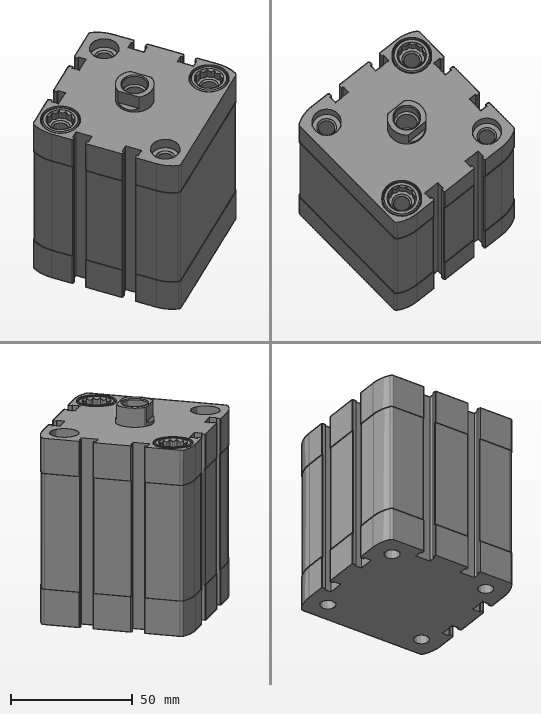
import cadquery as cq
import math

SIDE = 65.5
HALF_SIDE = SIDE / 2
HOUSING_HEIGHT = 80.0
CAP_HEIGHT = 15.2
BARREL_INSET = 0.3
HOLE_OFFSET = 23.3
CORNER_RADIUS = 17.1
CORNER_EDGE_FILLET = 1.5

SLOT_OFFSET = 11.0
SLOT_MOUTH_WIDTH = 5.5
SLOT_INNER_WIDTH = 7.1
SLOT_DEPTH = 5.0
SLOT_LIP = 1.8
SLOT_MOUTH_ROUND = 0.35

BOLT_HOLE_DIAMETER = 6.6
BOLT_HOLE_MOUTH_DIAMETER = 8.0
COUNTERBORE_DIAMETER = 12.0
COUNTERBORE_DEPTH = 4.7

HEAD_DIAMETER = 15.5
HEAD_CHAMFER = 0.5
HEAD_POCKET_DIAMETER = 16.4
HEAD_GAP_DEPTH = 1.3
SPLINE_TIP_DIAMETER = 11.5
SPLINE_ROOT_DIAMETER = 10.5
SPLINE_DEPTH = 4.2
SPLINE_TURNS = (0, 30)
SPLINE_LEAD_IN_DIAMETER = 12.0
SPLINE_LEAD_IN_DEPTH = 1.15

ROD_DIAMETER = 16.0
ROD_TOP = 88.2
ROD_BOTTOM = HOUSING_HEIGHT - CAP_HEIGHT
FLAT_WIDTH = 13.0
FLAT_HEIGHT = 6.35
FLAT_RUNOUT_ANGLE = 30.0
ROD_BORE_DIAMETER = 10.5
ROD_BORE_DEPTH = 4.85
ROD_BORE_CHAMFER = 0.4
THREAD_DIAMETER = 8.55
THREAD_DEPTH = 17.6
DRILL_HALF_ANGLE = math.radians(60)


def cylinder(diameter, z_bottom, height):
    return cq.Workplane("XY").workplane(offset=z_bottom).circle(diameter / 2).extrude(height)


def cone(bottom_diameter, top_diameter, z_bottom, height):
    solid = cq.Solid.makeCone(bottom_diameter / 2, top_diameter / 2, height, cq.Vector(0, 0, z_bottom))
    return cq.Workplane("XY").add(solid)


def block(inset, z_bottom, height):
    """Square block whose corners run out on wide arcs, all sides moved in by the inset."""
    half = HALF_SIDE - inset
    radius = CORNER_RADIUS - inset
    arc_centre_y = half - radius
    corner_y = arc_centre_y + math.sqrt(radius**2 - (half - HOLE_OFFSET) ** 2)
    return (
        cq.Workplane("XY")
        .workplane(offset=z_bottom)
        .moveTo(-HOLE_OFFSET, half)
        .lineTo(HOLE_OFFSET, half)
        .radiusArc((half, corner_y), radius)
        .lineTo(half, -corner_y)
        .radiusArc((HOLE_OFFSET, -half), radius)
        .lineTo(-HOLE_OFFSET, -half)
        .radiusArc((-half, -corner_y), radius)
        .lineTo(-half, corner_y)
        .radiusArc((-HOLE_OFFSET, half), radius)
        .close()
        .extrude(height)
        .edges("|Z and (<X or >X)")
        .fillet(CORNER_EDGE_FILLET)
    )


def slot(centre_x, inset, z_bottom, height):
    """T-slot cutter for the -Y side, its mouth rounded where it meets the inset side."""
    side_y = -HALF_SIDE + inset
    lip_y = -HALF_SIDE + SLOT_LIP
    floor_y = -HALF_SIDE + SLOT_DEPTH
    half_mouth = SLOT_MOUTH_WIDTH / 2
    half_inner = SLOT_INNER_WIDTH / 2
    half_flare = half_mouth + SLOT_MOUTH_ROUND
    return (
        cq.Workplane("XY", origin=(centre_x, 0, z_bottom))
        .moveTo(-half_flare, side_y)
        .radiusArc((-half_mouth, side_y + SLOT_MOUTH_ROUND), SLOT_MOUTH_ROUND)
        .lineTo(-half_mouth, lip_y)
        .lineTo(-half_inner, lip_y)
        .lineTo(-half_inner, floor_y)
        .lineTo(half_inner, floor_y)
        .lineTo(half_inner, lip_y)
        .lineTo(half_mouth, lip_y)
        .lineTo(half_mouth, side_y + SLOT_MOUTH_ROUND)
        .radiusArc((half_flare, side_y), SLOT_MOUTH_ROUND)
        .close()
        .extrude(height)
    )


def slotted_block(inset, z_bottom, height):
    """Length of housing with two T-slots in each of the -Y, -X and +Y sides."""
    section = block(inset, z_bottom, height)
    for turn in (0, -90, 180):
        for centre_x in (-SLOT_OFFSET, SLOT_OFFSET):
            cutter = slot(centre_x, inset, z_bottom, height)
            section = section.cut(cutter.rotate((0, 0, 0), (0, 0, 1), turn))
    return section


def bolt_hole(floor_z):
    """Through hole with a 45 degree mouth that opens in a floor at the given height."""
    mouth_depth = (BOLT_HOLE_MOUTH_DIAMETER - BOLT_HOLE_DIAMETER) / 2
    mouth = cone(BOLT_HOLE_DIAMETER, BOLT_HOLE_MOUTH_DIAMETER, floor_z - mouth_depth, mouth_depth)
    return cylinder(BOLT_HOLE_DIAMETER, 0, floor_z).union(mouth)


def plain_hole():
    floor_z = HOUSING_HEIGHT - COUNTERBORE_DEPTH
    return bolt_hole(floor_z).union(cylinder(COUNTERBORE_DIAMETER, floor_z, COUNTERBORE_DEPTH))


def splined_socket():
    """Round socket with twelve points and a conical lead-in."""
    floor_z = HOUSING_HEIGHT - SPLINE_DEPTH
    socket = cylinder(SPLINE_ROOT_DIAMETER, floor_z, SPLINE_DEPTH)
    for turn in SPLINE_TURNS:
        hexagon = cq.Workplane("XY").workplane(offset=floor_z).polygon(6, SPLINE_TIP_DIAMETER)
        socket = socket.union(hexagon.extrude(SPLINE_DEPTH).rotate((0, 0, 0), (0, 0, 1), turn))
    lead_in_z = HOUSING_HEIGHT - SPLINE_LEAD_IN_DEPTH
    lead_in = cone(SPLINE_ROOT_DIAMETER, SPLINE_LEAD_IN_DIAMETER, lead_in_z, SPLINE_LEAD_IN_DEPTH)
    return socket.union(lead_in)


def head_gap():
    """Narrow ring around a screw head whose top edge is chamfered."""
    gap_z = HOUSING_HEIGHT - HEAD_GAP_DEPTH
    head = cylinder(HEAD_DIAMETER, gap_z, HEAD_GAP_DEPTH).faces(">Z").chamfer(HEAD_CHAMFER)
    return cylinder(HEAD_POCKET_DIAMETER, gap_z, HEAD_GAP_DEPTH).cut(head)


def screw_hole():
    return bolt_hole(HOUSING_HEIGHT - SPLINE_DEPTH).union(splined_socket())


def make_rod():
    rod = cylinder(ROD_DIAMETER, ROD_BOTTOM, ROD_TOP - ROD_BOTTOM)

    flat_bottom = ROD_TOP - FLAT_HEIGHT
    flat_y = FLAT_WIDTH / 2
    runout = (ROD_DIAMETER / 2 - flat_y) * math.tan(math.radians(FLAT_RUNOUT_ANGLE))
    flat_cut = (
        cq.Workplane("YZ")
        .moveTo(flat_y, ROD_TOP)
        .lineTo(flat_y, flat_bottom)
        .lineTo(ROD_DIAMETER / 2, flat_bottom - runout)
        .lineTo(ROD_DIAMETER / 2, ROD_TOP)
        .close()
        .extrude(ROD_DIAMETER / 2, both=True)
    )
    rod = rod.cut(flat_cut).cut(flat_cut.mirror("XZ"))

    bore_radius = ROD_BORE_DIAMETER / 2
    thread_radius = THREAD_DIAMETER / 2
    bore_floor = ROD_TOP - ROD_BORE_DEPTH
    thread_floor = ROD_TOP - THREAD_DEPTH
    bore = (
        cq.Workplane("XZ")
        .moveTo(0, ROD_TOP)
        .lineTo(bore_radius + ROD_BORE_CHAMFER, ROD_TOP)
        .lineTo(bore_radius, ROD_TOP - ROD_BORE_CHAMFER)
        .lineTo(bore_radius, bore_floor)
        .lineTo(thread_radius, bore_floor - (bore_radius - thread_radius) / math.tan(DRILL_HALF_ANGLE))
        .lineTo(thread_radius, thread_floor)
        .lineTo(0, thread_floor - thread_radius / math.tan(DRILL_HALF_ANGLE))
        .close()
        .revolve(360, (0, 0, 0), (0, 1, 0))
    )
    return rod.cut(bore)


def make_housing():
    upper_cap_z = HOUSING_HEIGHT - CAP_HEIGHT
    housing = (
        slotted_block(0, 0, CAP_HEIGHT)
        .union(slotted_block(BARREL_INSET, CAP_HEIGHT, upper_cap_z - CAP_HEIGHT))
        .union(slotted_block(0, upper_cap_z, CAP_HEIGHT))
    )

    for side in (-1, 1):
        plain_place = (side * HOLE_OFFSET, -side * HOLE_OFFSET, 0)
        screw_place = (side * HOLE_OFFSET, side * HOLE_OFFSET, 0)
        housing = housing.cut(plain_hole().translate(plain_place))
        housing = housing.cut(screw_hole().translate(screw_place))
        housing = housing.cut(head_gap().translate(screw_place))

    return housing.cut(cylinder(ROD_DIAMETER, ROD_BOTTOM, HOUSING_HEIGHT - ROD_BOTTOM))


housing = make_housing()
rod = make_rod()
result = cq.Compound.makeCompound([housing.val(), rod.val()])